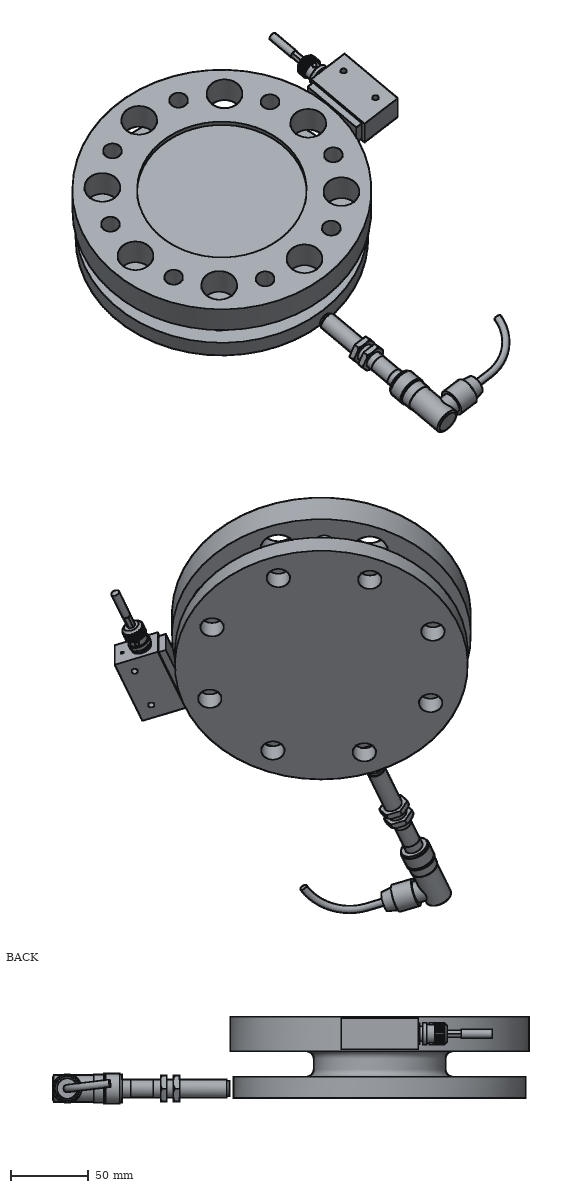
import cadquery as cq
import math


upper_diameter = 194.0
lower_diameter = 190.0
rotor_height = 52.8
upper_thickness = 22.5
lower_thickness = 14.0
neck_diameter = 86.0
neck_fillet = 4.5
recess_diameter = 110.0
recess_depth = 3.7

bolt_circle_diameter = 155.0
bolts_per_circle = 8
hole_pitch_angle = 360 / bolts_per_circle
access_hole_diameter = 23.2
lower_hole_diameter = 15.0
thread_hole_diameter = 12.0

box_length = 50.0
box_depth = 30.0
box_height = 20.5
box_back_y = 134.0
box_front_y = box_back_y - box_depth
box_center_z = 41.7
pad_length = 45.7
pad_thickness = 5.0
pad_height = 16.7
offset_x = -0.3
mount_hole_diameter = 4.0
mount_hole_spacing = 30.0
mount_hole_y = 124.0
indicator_diameter = 2.0
indicator_depth = 5.0
indicator_y = 129.0

coax_y = 115.3
socket_start_x = -box_length / 2
washer_diameter = 13.5
washer_thickness = 1.0
socket_neck_diameter = 10.0
socket_neck_length = 2.0
socket_flange_diameter = 14.5
socket_flange_thickness = 2.8
barrel_diameter = 12.0
barrel_length = 5.3
lug_diameter = 2.8
lug_tip_radius = 7.0
lug_center = 2.5
plug_diameter = 14.5
plug_length = 8.0
plug_chamfer = 2.2
flute_count = 24
flute_diameter = 1.0
ferrule_diameter = 5.5
ferrule_length = 9.0
coax_cable_diameter = 5.5
coax_cable_end_x = -73.0

washer_x = socket_start_x - washer_thickness
socket_flange_x = washer_x - socket_neck_length
barrel_x = socket_flange_x - socket_flange_thickness
socket_end_x = barrel_x - barrel_length
plug_end_x = socket_end_x - plug_length
ferrule_end_x = plug_end_x - ferrule_length

sensor_axis_z = 6.2
sensor_tip_x = 97.3
sensor_thread_x = 99.2
sensor_thread_end_x = 146.8
sensor_plug_x = 161.5
sensor_end_x = 167.2
sensor_tip_diameter = 10.2
sensor_thread_diameter = 12.0
sensor_shank_diameter = 11.7
nut_across_flats = 17.0
nut_thickness = 4.0
nut_chamfer = 1.0
nut_positions_x = (129.8, 138.0)

collar_lead_diameter = 18.2
collar_x = 168.7
collar_diameter = 19.8
collar_end_x = 177.7
groove_width = 0.5
groove_diameter = 19.2
collar_rim_width = 0.5
seat_diameter = 18.5
seat_end_x = 185.5
body_diameter = 17.5
body_end_x = 212.0
body_chamfer_length = 1.5
body_chamfer_depth = 0.5
branch_x = 202.7
branch_neck_diameter = 14.2
branch_collar_diameter = 18.5
branch_collar_y = 12.5
branch_taper_y = 26.3
branch_end_y = 34.0
branch_taper_start = 16.0
branch_taper_end = 13.3

cable_diameter = 5.0
cable_bend_y = 46.5
cable_bend_radius = 34.3
cable_bend_angle = 79
cable_rise_angle = 7


def cylinder_x(start_x, end_x, diameter, y, z):
    """Cylinder along X between two X positions."""
    return cq.Workplane("YZ", origin=(start_x, y, z)).circle(diameter / 2).extrude(end_x - start_x)


def stepped_shaft_x(start_x, steps, y, z):
    """Coaxial cylinders along X, one after another; each step is (end x, diameter)."""
    shaft = cq.Workplane("XY")
    for end_x, diameter in steps:
        shaft = shaft.union(cylinder_x(start_x, end_x, diameter, y, z))
        start_x = end_x
    return shaft


def rotor_holes(bottom_z, height, diameter, start_angle):
    """Cutters for one ring of holes on the bolt circle."""
    return (
        cq.Workplane("XY", origin=(0, 0, bottom_z))
        .polarArray(bolt_circle_diameter / 2, start_angle, 360, bolts_per_circle)
        .circle(diameter / 2)
        .extrude(height)
    )


def make_rotor():
    upper_bottom = rotor_height - upper_thickness
    neck_radius = neck_diameter / 2
    fillet_mid = neck_fillet * (1 - math.sqrt(0.5))
    profile = (
        cq.Workplane("XZ")
        .lineTo(lower_diameter / 2, 0)
        .lineTo(lower_diameter / 2, lower_thickness)
        .lineTo(neck_radius + neck_fillet, lower_thickness)
        .threePointArc(
            (neck_radius + fillet_mid, lower_thickness + fillet_mid),
            (neck_radius, lower_thickness + neck_fillet),
        )
        .lineTo(neck_radius, upper_bottom - neck_fillet)
        .threePointArc(
            (neck_radius + fillet_mid, upper_bottom - fillet_mid),
            (neck_radius + neck_fillet, upper_bottom),
        )
        .lineTo(upper_diameter / 2, upper_bottom)
        .lineTo(upper_diameter / 2, rotor_height)
        .lineTo(recess_diameter / 2, rotor_height)
        .lineTo(recess_diameter / 2, rotor_height - recess_depth)
        .lineTo(0, rotor_height - recess_depth)
        .close()
    )
    body = profile.revolve(360, (0, 0, 0), (0, 1, 0))
    body = body.cut(rotor_holes(0, lower_thickness, lower_hole_diameter, 0))
    body = body.cut(rotor_holes(upper_bottom, upper_thickness, access_hole_diameter, 0))
    return body.cut(
        rotor_holes(upper_bottom, upper_thickness, thread_hole_diameter, hole_pitch_angle / 2)
    )


def make_transmitter_box():
    block = cq.Workplane("XY", origin=(0, box_front_y + box_depth / 2, box_center_z)).box(
        box_length, box_depth, box_height
    )
    pad = cq.Workplane("XY", origin=(offset_x, box_front_y - pad_thickness / 2, box_center_z)).box(
        pad_length, pad_thickness, pad_height
    )
    mount_holes = (
        cq.Workplane("XY", origin=(offset_x, mount_hole_y, box_center_z))
        .rarray(mount_hole_spacing, 3, 2, 1)
        .circle(mount_hole_diameter / 2)
        .extrude(box_height / 2, both=True)
    )
    indicator = cylinder_x(
        -box_length / 2, -box_length / 2 + indicator_depth, indicator_diameter, indicator_y, box_center_z
    )
    return block.union(pad).cut(mount_holes).cut(indicator)


def make_socket():
    steps = (
        (washer_x, washer_diameter),
        (socket_flange_x, socket_neck_diameter),
        (barrel_x, socket_flange_diameter),
        (socket_end_x, barrel_diameter),
    )
    lugs = (
        cq.Workplane("XY", origin=(socket_end_x + lug_center, coax_y, box_center_z))
        .circle(lug_diameter / 2)
        .extrude(lug_tip_radius, both=True)
    )
    return stepped_shaft_x(socket_start_x, steps, coax_y, box_center_z).union(lugs)


def make_plug():
    """Fluted coupling nut with a hexagonal crimp ferrule behind it."""
    nut = cylinder_x(socket_end_x, plug_end_x, plug_diameter, coax_y, box_center_z)
    nut = nut.faces("<X").chamfer(plug_chamfer)
    flutes = (
        cq.Workplane("YZ", origin=(plug_end_x, coax_y, box_center_z))
        .polarArray(plug_diameter / 2, 0, 360, flute_count)
        .circle(flute_diameter / 2)
        .extrude(plug_length)
    )
    ferrule = (
        cq.Workplane("YZ", origin=(ferrule_end_x, coax_y, box_center_z))
        .polygon(6, ferrule_diameter)
        .extrude(ferrule_length)
    )
    return nut.cut(flutes).union(ferrule)


def make_coax_cable():
    return cylinder_x(coax_cable_end_x, ferrule_end_x, coax_cable_diameter, coax_y, box_center_z)


def make_sensor():
    steps = (
        (sensor_thread_x, sensor_tip_diameter),
        (sensor_thread_end_x, sensor_thread_diameter),
        (sensor_plug_x, sensor_shank_diameter),
        (sensor_end_x, sensor_thread_diameter),
    )
    return stepped_shaft_x(sensor_tip_x, steps, 0, sensor_axis_z)


def make_nut(start_x):
    """Hexagonal nut with corners pointing to +Y and -Y, and its corners turned off on the +X face."""
    corner_diameter = nut_across_flats / math.cos(math.pi / 6)
    prism = (
        cq.Workplane("YZ", origin=(start_x, 0, sensor_axis_z))
        .polygon(6, corner_diameter)
        .extrude(nut_thickness)
    )
    turned = cylinder_x(start_x, start_x + nut_thickness, corner_diameter, 0, sensor_axis_z)
    turned = turned.faces(">X").chamfer(nut_chamfer)
    bore = cylinder_x(start_x, start_x + nut_thickness, sensor_thread_diameter, 0, sensor_axis_z)
    return prism.intersect(turned).cut(bore)


def make_branch():
    """Side outlet of the angled connector, revolved about an axis along Y."""
    profile = (
        cq.Workplane("XY", origin=(branch_x, 0, sensor_axis_z))
        .lineTo(branch_neck_diameter / 2, 0)
        .lineTo(branch_neck_diameter / 2, branch_collar_y)
        .lineTo(branch_collar_diameter / 2, branch_collar_y)
        .lineTo(branch_collar_diameter / 2, branch_taper_y)
        .lineTo(branch_taper_start / 2, branch_taper_y)
        .lineTo(branch_taper_end / 2, branch_end_y)
        .lineTo(0, branch_end_y)
        .close()
    )
    return profile.revolve(360, (0, 0, 0), (0, 1, 0))


def make_connector():
    groove_end_x = collar_end_x + groove_width
    steps = (
        (collar_x, collar_lead_diameter),
        (collar_end_x, collar_diameter),
        (groove_end_x, groove_diameter),
        (groove_end_x + collar_rim_width, collar_diameter),
        (seat_end_x, seat_diameter),
        (body_end_x, body_diameter),
    )
    body = stepped_shaft_x(sensor_end_x, steps, 0, sensor_axis_z)
    body = body.faces(">X").edges().chamfer(body_chamfer_depth, body_chamfer_length)
    return body.union(make_branch())


def make_connector_cable():
    """Cable leaving the outlet along +Y and bending towards -X."""

    def bend_point(angle):
        turn = math.radians(angle)
        return (
            branch_x - cable_bend_radius * (1 - math.cos(turn)),
            cable_bend_y + cable_bend_radius * math.sin(turn),
        )

    path = (
        cq.Workplane("XY", origin=(0, 0, sensor_axis_z))
        .moveTo(branch_x, branch_end_y)
        .lineTo(branch_x, cable_bend_y)
        .threePointArc(bend_point(cable_bend_angle / 2), bend_point(cable_bend_angle))
    )
    section = cq.Workplane("XZ", origin=(branch_x, branch_end_y, sensor_axis_z)).circle(cable_diameter / 2)
    cable = section.sweep(path)
    return cable.rotate((branch_x, 0, sensor_axis_z), (branch_x, 1, sensor_axis_z), cable_rise_angle)


rotor = make_rotor()
transmitter_box = make_transmitter_box()
socket = make_socket()
plug = make_plug()
coax_cable = make_coax_cable()
sensor = make_sensor()
nuts = [make_nut(start_x) for start_x in nut_positions_x]
connector = make_connector()
connector_cable = make_connector_cable()

result = cq.Compound.makeCompound(
    [
        rotor.val(),
        transmitter_box.val(),
        socket.val(),
        plug.val(),
        coax_cable.val(),
        sensor.val(),
        *[nut.val() for nut in nuts],
        connector.val(),
        connector_cable.val(),
    ]
)